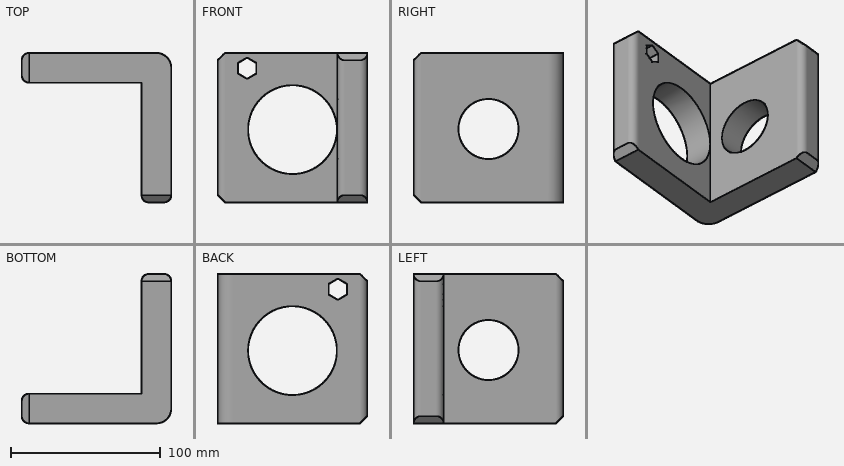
import cadquery as cq

size = 100.0
thickness = 20.0
outer_corner_radius = 10.0
end_size = 5.0

large_hole_diameter = 59.2
large_hole_x = size / 2
large_hole_z = 48.7
small_hole_diameter = 40.0
small_hole_y = size / 2
small_hole_z = 49.1

hex_across_corners = 14.0
hex_x = 19.7
hex_z = 89.7


def make_angle():
    """L-shaped block: back plate along X at +Y, side plate along Y at +X."""
    inner = size - thickness
    outline = [(0, inner), (inner, inner), (inner, 0), (size, 0), (size, size), (0, size)]
    angle = cq.Workplane("XY").polyline(outline).close().extrude(size)
    angle = angle.edges("|Z and >X and >Y").fillet(outer_corner_radius)
    angle = angle.faces("<X").edges("|Z").fillet(end_size)
    return angle.faces("<Y").edges("|Z").fillet(end_size)


def end_chamfer_profile(plane, z_edge, z_inner):
    """Triangular bar that bevels one free end at the height z_edge."""
    corner = [(0, z_edge), (end_size, z_edge), (0, z_inner)]
    return cq.Workplane(plane).polyline(corner).close().extrude(size, both=True)


def cut_end_chamfers(body):
    """Bevel the top and bottom of both free ends."""
    for plane in ("XZ", "YZ"):
        body = body.cut(end_chamfer_profile(plane, size, size - end_size))
        body = body.cut(end_chamfer_profile(plane, 0, end_size))
    return body


def back_plate_hole_plane(x, z):
    """Workplane on the outer back face, pointing into the back plate."""
    return cq.Workplane("XZ", origin=(x, size, z))


def cut_holes(body):
    """Cut the holes through the back plate and the side plate."""
    large_hole = (
        back_plate_hole_plane(large_hole_x, large_hole_z)
        .circle(large_hole_diameter / 2)
        .extrude(thickness)
    )
    hex_hole = (
        back_plate_hole_plane(hex_x, hex_z)
        .transformed(rotate=(0, 0, 90))
        .polygon(6, hex_across_corners)
        .extrude(thickness)
    )
    small_hole = (
        cq.Workplane("YZ", origin=(size - thickness, small_hole_y, small_hole_z))
        .circle(small_hole_diameter / 2)
        .extrude(thickness)
    )
    return body.cut(large_hole).cut(hex_hole).cut(small_hole)


result = cut_holes(cut_end_chamfers(make_angle()))